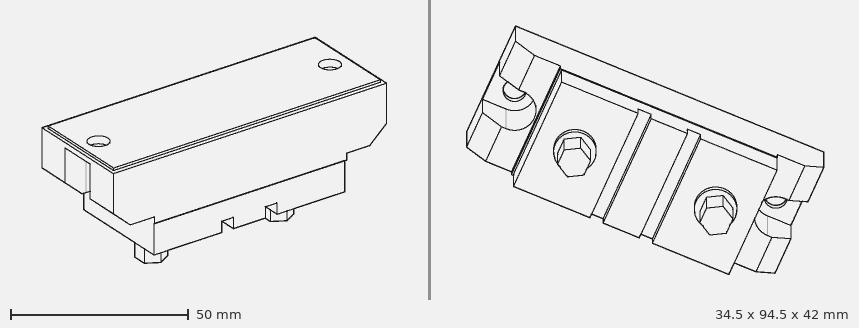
import cadquery as cq
import math

washer_bottom_z = 9.0
base_bottom_z = 11.0
base_top_z = 21.0
overhang_bottom_z = 23.2
chamfer_top_z = 28.5
slot_top_z = 39.5
cover_bottom_z = 41.2
overall_height = 42.0

housing_width = 34.5
housing_length = 94.5
overhang_flat_end_y = 41.4
neck_front_y = -33.0
neck_back_y = 33.5

base_width = 34.0
base_length = 66.0
groove_width = 4.0
groove_depth = 3.6
groove_spacing = 15.1

cover_width = 31.5
cover_length = 92.2

mount_spacing = 80.0
mount_hole_diameter = 6.5
slot_width = 12.0

washer_spacing = 43.1
washer_diameter = 12.0
hex_spacing = 43.6
hex_sides = 6
hex_across_flats = 8.1
hex_across_corners = hex_across_flats / math.cos(math.pi / hex_sides)


def make_block(width, length, bottom_z, top_z):
    """Box centred on the Z axis, spanning the given heights."""
    block = cq.Workplane("XY").box(width, length, top_z - bottom_z, centered=(True, True, False))
    return block.translate((0, 0, bottom_z))


def make_housing():
    """Side profile in YZ, extruded across the full width."""
    end_y = housing_length / 2
    profile = [
        (neck_front_y, base_top_z),
        (neck_front_y, overhang_bottom_z),
        (-overhang_flat_end_y, overhang_bottom_z),
        (-end_y, chamfer_top_z),
        (-end_y, cover_bottom_z),
        (end_y, cover_bottom_z),
        (end_y, chamfer_top_z),
        (overhang_flat_end_y, overhang_bottom_z),
        (neck_back_y, overhang_bottom_z),
        (neck_back_y, base_top_z),
    ]
    return cq.Workplane("YZ").polyline(profile).close().extrude(housing_width / 2, both=True)


def make_base():
    """Base block with two grooves running across its underside."""
    base = make_block(base_width, base_length, base_bottom_z, base_top_z)
    groove = make_block(base_width, groove_width, base_bottom_z, base_bottom_z + groove_depth)
    for side in (-1, 1):
        base = base.cut(groove.translate((0, side * groove_spacing / 2, 0)))
    return base


def make_mount_cut(side):
    """Through hole in the top and the round-ended slot that opens at the housing end."""
    mount_y = side * mount_spacing / 2
    slot_height = slot_top_z - overhang_bottom_z
    open_length = housing_length / 2 - mount_spacing / 2
    slot_plane = cq.Workplane("XY", origin=(0, mount_y, overhang_bottom_z))
    round_end = slot_plane.circle(slot_width / 2).extrude(slot_height)
    open_end = slot_plane.center(0, side * open_length / 2).rect(slot_width, open_length).extrude(slot_height)
    hole = slot_plane.circle(mount_hole_diameter / 2).extrude(overall_height - overhang_bottom_z)
    return round_end.union(open_end).union(hole)


def make_screw(side):
    """Washer and hex head; two hex corners point along X."""
    washer = cq.Workplane("XY", origin=(0, side * washer_spacing / 2, washer_bottom_z))
    washer = washer.circle(washer_diameter / 2).extrude(base_bottom_z - washer_bottom_z)
    head = cq.Workplane("XY", origin=(0, side * hex_spacing / 2, 0))
    head = head.polygon(hex_sides, hex_across_corners).extrude(washer_bottom_z)
    return washer.union(head)


cover = make_block(cover_width, cover_length, cover_bottom_z, overall_height)
result = make_housing().union(make_base()).union(cover)
for end in (-1, 1):
    result = result.cut(make_mount_cut(end)).union(make_screw(end))